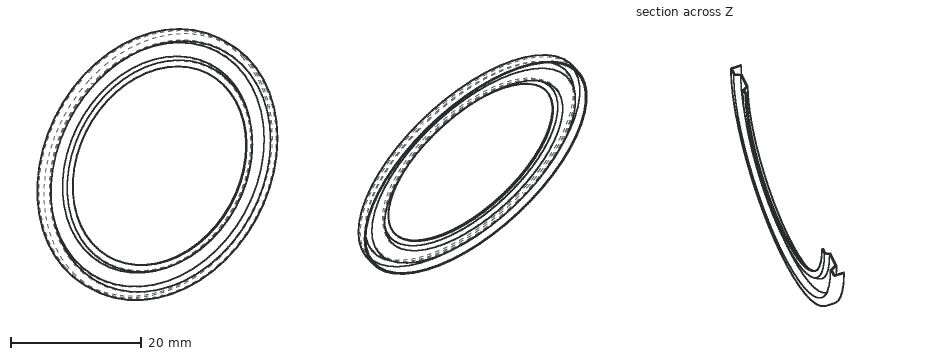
import cadquery as cq
import math

width = 1.7
outer_diameter = 43.25
bore_diameter = 32.0
sheet_thickness = 0.25

floor_x = width - sheet_thickness
plateau_x = 0.5
bore_flange_x = 1.2

outer_flank_foot_radius = 20.35
plateau_outer_radius = 19.8
plateau_inner_radius = 17.3
inner_flank_foot_radius = 16.9

outer_radius = outer_diameter / 2
bore_radius = bore_diameter / 2
rim_inner_radius = outer_radius - sheet_thickness
back_fillet = sheet_thickness


def back_corner_shift(flank_drop, flank_width):
    """Radial shift from a flank's front corners to its back corners at constant sheet thickness."""
    flank_angle = math.atan2(flank_drop, flank_width)
    return sheet_thickness * math.tan(flank_angle / 2)


def ring_profile():
    """Half section: local x is the axial position, local y is the radius."""
    outer_shift = back_corner_shift(floor_x - plateau_x, outer_flank_foot_radius - plateau_outer_radius)
    inner_shift = back_corner_shift(bore_flange_x - plateau_x, plateau_inner_radius - inner_flank_foot_radius)
    plateau_back_x = plateau_x + sheet_thickness
    bore_flange_back_x = bore_flange_x + sheet_thickness

    fillet_centre_x = width - back_fillet
    fillet_centre_radius = outer_radius - back_fillet
    fillet_reach = back_fillet * math.sqrt(0.5)
    fillet_middle = (fillet_centre_x + fillet_reach, fillet_centre_radius + fillet_reach)

    return (
        cq.Workplane("XY")
        .moveTo(0, outer_radius)
        .lineTo(0, rim_inner_radius)
        .lineTo(floor_x, rim_inner_radius)
        .lineTo(floor_x, outer_flank_foot_radius)
        .lineTo(plateau_x, plateau_outer_radius)
        .lineTo(plateau_x, plateau_inner_radius)
        .lineTo(bore_flange_x, inner_flank_foot_radius)
        .lineTo(bore_flange_x, bore_radius)
        .lineTo(bore_flange_back_x, bore_radius)
        .lineTo(bore_flange_back_x, inner_flank_foot_radius + inner_shift)
        .lineTo(plateau_back_x, plateau_inner_radius + inner_shift)
        .lineTo(plateau_back_x, plateau_outer_radius - outer_shift)
        .lineTo(width, outer_flank_foot_radius - outer_shift)
        .lineTo(width, fillet_centre_radius)
        .threePointArc(fillet_middle, (fillet_centre_x, outer_radius))
        .close()
    )


result = ring_profile().revolve(360, (0, 0, 0), (1, 0, 0))